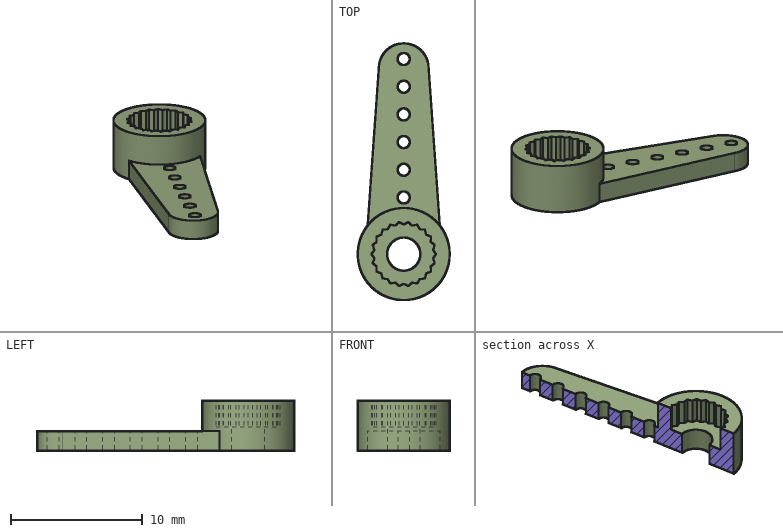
import cadquery as cq
import math

hub_diameter = 7.0
hub_height = 3.8
screw_hole_diameter = 2.5

tooth_count = 22
socket_mean_diameter = 4.7
tooth_depth = 0.2
socket_depth = 2.0

overall_length = 19.5
arm_thickness = 1.5
arm_root_width = 5.8
arm_tip_width = 3.8
arm_tip_y = overall_length - hub_diameter / 2
arm_tip_radius = arm_tip_width / 2
arm_taper_end_y = arm_tip_y - arm_tip_radius

link_hole_diameter = 0.9
link_hole_count = 6
link_hole_pitch = 2.1
first_link_hole_y = 4.3


def make_hub():
    return cq.Workplane("XY").circle(hub_diameter / 2).extrude(hub_height)


def make_arm():
    """Tapered plate with a rounded tip; its wide end is buried in the hub."""
    return (
        cq.Workplane("XY")
        .moveTo(-arm_root_width / 2, 0)
        .lineTo(arm_root_width / 2, 0)
        .lineTo(arm_tip_width / 2, arm_taper_end_y)
        .threePointArc((0, arm_tip_y), (-arm_tip_width / 2, arm_taper_end_y))
        .close()
        .extrude(arm_thickness)
    )


def make_socket():
    """Prism with alternating groove and tooth-crest corners; a groove lies on +X."""
    groove_radius = (socket_mean_diameter + tooth_depth) / 2
    crest_radius = groove_radius - tooth_depth
    half_pitch = math.pi / tooth_count
    corners = []
    for index in range(2 * tooth_count):
        radius = groove_radius if index % 2 == 0 else crest_radius
        angle = index * half_pitch
        corners.append((radius * math.cos(angle), radius * math.sin(angle)))
    return (
        cq.Workplane("XY")
        .workplane(offset=hub_height - socket_depth)
        .polyline(corners)
        .close()
        .extrude(socket_depth)
    )


def make_screw_hole():
    return cq.Workplane("XY").circle(screw_hole_diameter / 2).extrude(hub_height)


def make_link_holes():
    centres = [(0, first_link_hole_y + i * link_hole_pitch) for i in range(link_hole_count)]
    return (
        cq.Workplane("XY")
        .pushPoints(centres)
        .circle(link_hole_diameter / 2)
        .extrude(arm_thickness)
    )


horn = make_hub().union(make_arm())
result = horn.cut(make_socket()).cut(make_screw_hole()).cut(make_link_holes())